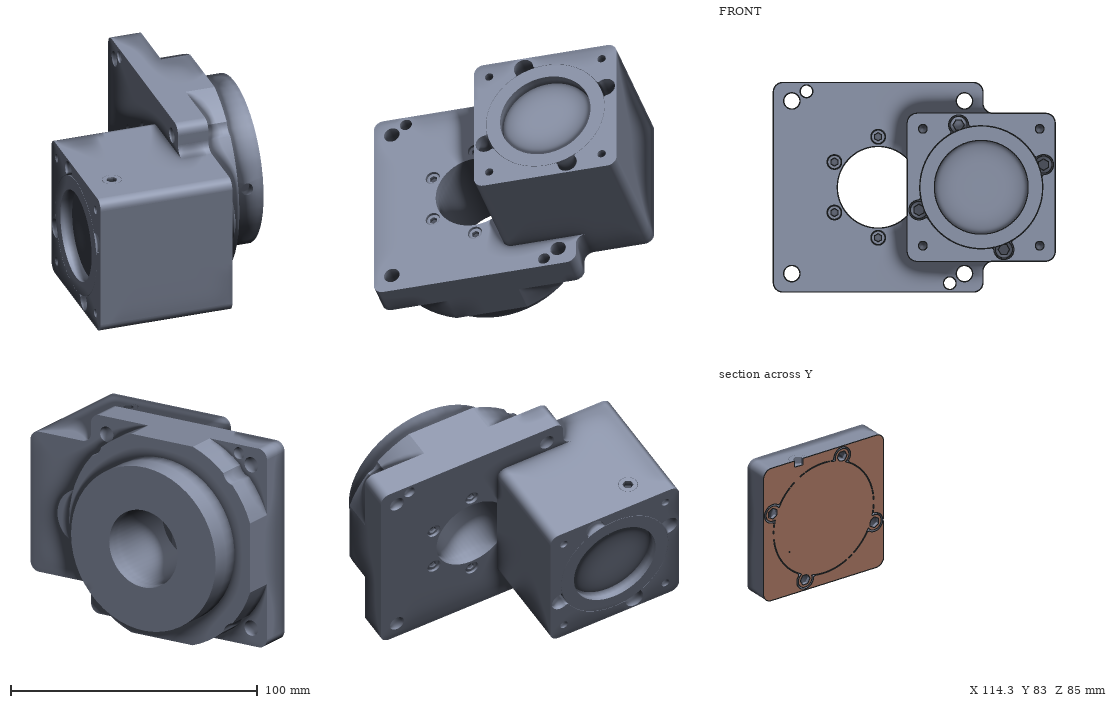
import cadquery as cq
import math


hex_half_turn = 30

reach = 1.1

plate_side = 85.0
plate_thickness = 13.0
corner_radius = 4.0
bore_diameter = 33.0

housing_diameter = 90.1
housing_depth = 12.5
rim_diameter = 70.0
rim_depth = 14.0
rim_hole_diameter = 5.0
rim_hole_depth = 4.6
rim_hole_angle = 7.0

mount_hole_diameter = 6.5
mount_hole_offset = 35.0
washer_relief_diameter = 11.0
dowel_hole_diameter = 5.0
dowel_x = 29.0
dowel_z = 38.9

bore_screw_circle_radius = 20.5
bore_screw_angles = (90, 150, 210, 270)
bore_pocket_diameter = 6.0
bore_pocket_depth = 4.0
bore_head_diameter = 5.5
bore_head_recess = 1.0
bore_hex_flats = 2.9
bore_hex_depth = 1.7

overall_width = 114.3
block_side = 60.0
block_projection = 43.5
block_x = overall_width - plate_side / 2 - block_side / 2
block_front = -block_projection
boss_diameter = 24.0
boss_height = 7.7

ring_seat_diameter = 50.0
ring_gap = 0.1
ring_recess_diameter = 38.1
ring_recess_depth = 5.0

motor_screw_circle_radius = 26.9
first_motor_screw_angle = 20
motor_screw_count = 4
motor_pocket_diameter = 8.1
motor_pocket_depth = 13.7
pocket_mouth_radius = 1.0
motor_head_diameter = 7.0
motor_head_height = 4.0
motor_hex_flats = 4.0
motor_hex_depth = 2.1

face_hole_diameter = 3.5
face_hole_depth = 6.9
face_hole_offset = 23.7
drill_tip_angle = 118

set_screw_diameter = 8.0
set_screw_x = 54.2
set_screw_setback = 11.0
set_screw_gap = 0.1
set_screw_gap_depth = 1.1
set_screw_hex_flats = 4.0
set_screw_hex_depth = 2.9

housing_back = plate_thickness + housing_depth
rim_back = housing_back + rim_depth
block_top = block_side / 2
motor_cavity_floor = block_front + motor_pocket_depth


def rod(diameter, y_start, y_end, x=0, z=0):
    """Cylinder along Y between two Y positions."""
    plane = cq.Workplane("XZ", origin=(x, y_start, z))
    return plane.circle(diameter / 2).extrude(y_start - y_end)


def square_block(side, y_start, y_end, x=0):
    """Square block along Y between two Y positions, centred on Z = 0."""
    plane = cq.Workplane("XZ", origin=(x, y_start, 0))
    return plane.rect(side, side).extrude(y_start - y_end)


def hex_diameter(flats):
    """Corner-to-corner size of a hexagon from its size across the flats."""
    return flats / math.cos(math.radians(hex_half_turn))


def hex_socket(flats, y_start, depth, x, z, turn):
    """Hexagonal prism going in +Y; at turn = 0 two of its corners lie along X."""
    plane = cq.Workplane("XZ", origin=(x, y_start, z)).transformed(rotate=(0, 0, turn))
    return plane.polygon(6, hex_diameter(flats)).extrude(-depth)


def polar(radius, angle):
    """X and Z offsets of a point at an angle measured from +X towards +Z."""
    return radius * math.cos(math.radians(angle)), radius * math.sin(math.radians(angle))


def make_plate_and_block():
    plate = square_block(plate_side, 0, plate_thickness).edges("|Y").fillet(corner_radius)
    block = square_block(block_side, block_front, plate_thickness, block_x)
    block = block.edges("|Y").fillet(corner_radius)
    block_in_plate = block.intersect(square_block(plate_side, 0, plate_thickness, block_x))
    base = plate.union(block_in_plate)
    inner_corners = cq.selectors.BoxSelector(
        (plate_side / 2 - reach, -reach, -block_top - reach),
        (plate_side / 2 + reach, plate_thickness + reach, block_top + reach),
    )
    base = base.edges("|Y").edges(inner_corners).fillet(corner_radius)
    base = base.cut(rod(bore_diameter, 0, plate_thickness))
    return base, block.cut(square_block(plate_side, 0, plate_thickness, block_x))


def make_housing():
    boss_back = plate_thickness + boss_height
    housing = rod(housing_diameter, plate_thickness, boss_back)
    housing = housing.union(rod(boss_diameter, plate_thickness, boss_back, block_x))
    crossing = cq.selectors.BoxSelector(
        (block_x, plate_thickness - reach, -boss_diameter / 2),
        (housing_diameter / 2, boss_back + reach, boss_diameter / 2),
    )
    housing = housing.edges("|Y").edges(crossing).fillet(corner_radius)
    housing = housing.union(rod(housing_diameter, boss_back, housing_back))
    envelope_width = 2 * overall_width
    envelope = cq.Workplane("XY").box(envelope_width, envelope_width, plate_side)
    envelope = envelope.translate(((envelope_width - plate_side) / 2, 0, 0))
    housing = housing.intersect(envelope)
    for x in (-mount_hole_offset, mount_hole_offset):
        for z in (-mount_hole_offset, mount_hole_offset):
            housing = housing.cut(rod(washer_relief_diameter, plate_thickness, housing_back, x, z))
    return housing.cut(rod(bore_diameter, plate_thickness, housing_back))


def make_rim():
    rim = rod(rim_diameter, housing_back, rim_back)
    rim = rim.cut(rod(bore_diameter, housing_back, rim_back))
    hole_start = (rim_diameter / 2 - rim_hole_depth, housing_back + rim_depth / 2, 0)
    hole_plane = cq.Workplane("YZ", origin=hole_start)
    hole = hole_plane.circle(rim_hole_diameter / 2).extrude(2 * rim_hole_depth)
    return rim.cut(hole.rotate((0, 0, 0), (0, 1, 0), -rim_hole_angle))


def cut_plate_holes(body):
    for x in (-mount_hole_offset, mount_hole_offset):
        for z in (-mount_hole_offset, mount_hole_offset):
            body = body.cut(rod(mount_hole_diameter, 0, plate_thickness, x, z))
    for side in (-1, 1):
        body = body.cut(rod(dowel_hole_diameter, 0, plate_thickness, side * dowel_x, -side * dowel_z))
    return body


def add_bore_screws(body):
    for angle in bore_screw_angles:
        x, z = polar(bore_screw_circle_radius, angle)
        body = body.cut(rod(bore_pocket_diameter, 0, bore_pocket_depth, x, z))
        body = body.union(rod(bore_head_diameter, bore_head_recess, bore_pocket_depth, x, z))
        body = body.cut(hex_socket(bore_hex_flats, bore_head_recess, bore_hex_depth, x, z, hex_half_turn))
    return body


def motor_screw_turns():
    """Rotation of each motor screw away from the first one."""
    return [index * 360 / motor_screw_count for index in range(motor_screw_count)]


def motor_screw_position(turn):
    offset, z = polar(motor_screw_circle_radius, first_motor_screw_angle + turn)
    return block_x + offset, z


def cut_motor_cavity(body):
    """Seat for the flange ring, with a screw pocket opening into it at each screw."""
    body = body.cut(rod(ring_seat_diameter, block_front, motor_cavity_floor, block_x))
    for turn in motor_screw_turns():
        x, z = motor_screw_position(turn)
        body = body.cut(rod(motor_pocket_diameter, block_front, motor_cavity_floor, x, z))
    mouths = cq.selectors.BoxSelector(
        (block_x - ring_seat_diameter / 2, block_front - reach, -ring_seat_diameter / 2),
        (block_x + ring_seat_diameter / 2, motor_cavity_floor + reach, ring_seat_diameter / 2),
    )
    return body.edges("|Y").edges(mouths).fillet(pocket_mouth_radius)


def add_motor_screws(body):
    head_front = motor_cavity_floor - motor_head_height
    for turn in motor_screw_turns():
        x, z = motor_screw_position(turn)
        body = body.union(rod(motor_head_diameter, head_front, motor_cavity_floor, x, z))
        body = body.cut(hex_socket(motor_hex_flats, head_front, motor_hex_depth, x, z, hex_half_turn + turn))
    return body


def add_flange_ring(body):
    ring_diameter = ring_seat_diameter - 2 * ring_gap
    recess_floor = block_front + ring_recess_depth
    body = body.union(rod(ring_diameter, block_front, motor_cavity_floor, block_x))
    return body.cut(rod(ring_recess_diameter, block_front, recess_floor, block_x))


def cut_face_holes(body):
    radius = face_hole_diameter / 2
    tip_length = radius / math.tan(math.radians(drill_tip_angle / 2))
    profile = [(0, 0), (radius, 0), (radius, face_hole_depth), (0, face_hole_depth + tip_length)]
    drill = cq.Workplane("XY").polyline(profile).close().revolve(360, (0, 0, 0), (0, 1, 0))
    for x in (block_x - face_hole_offset, block_x + face_hole_offset):
        for z in (-face_hole_offset, face_hole_offset):
            body = body.cut(drill.translate((x, block_front, z)))
    return body


def cut_set_screw(body):
    plane = cq.Workplane("XY", origin=(set_screw_x, block_front + set_screw_setback, block_top))
    outer_radius = set_screw_diameter / 2
    gap = plane.circle(outer_radius).circle(outer_radius - set_screw_gap).extrude(-set_screw_gap_depth)
    socket = plane.transformed(rotate=(0, 0, hex_half_turn)).polygon(6, hex_diameter(set_screw_hex_flats))
    return body.cut(gap).cut(socket.extrude(-set_screw_hex_depth))


base, block = make_plate_and_block()
base = add_bore_screws(cut_plate_holes(base))
block = add_flange_ring(add_motor_screws(cut_motor_cavity(block)))
block = cut_set_screw(cut_face_holes(block))
result = base.union(block).union(make_housing()).union(make_rim())